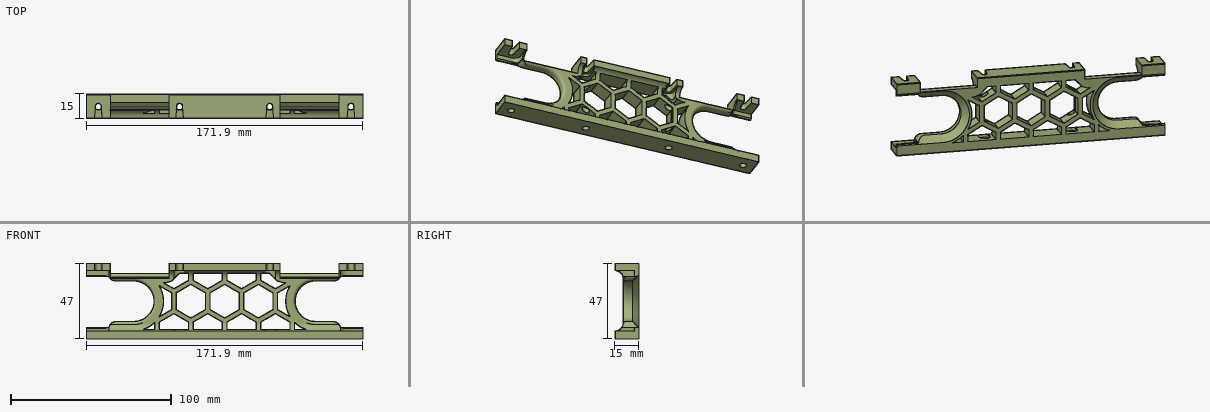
import cadquery as cq
import math

LENGTH = 171.95
DEPTH = 15.0
HEIGHT = 47.0
END_X = LENGTH / 2
BACK_Y = DEPTH / 2
FRONT_Y = -DEPTH / 2
MID_Z = HEIGHT / 2
MARGIN = 2.0
BACK_CHAMFER = 0.5

BASE_THICKNESS = 5.0
PAD_THICKNESS = 4.5
PAD_UNDERSIDE = HEIGHT - PAD_THICKNESS
WEB_DEPTH = 10.0
WEB_FRONT_Y = BACK_Y - WEB_DEPTH
WEB_FILLET = DEPTH - WEB_DEPTH
END_PAD_LENGTH = 15.0
CENTRE_PAD_HALF = 34.5
END_PAD_INNER_X = END_X - END_PAD_LENGTH

ARM_TOP = 40.8
ARM_FLAT_DEPTH = 5.2
ARM_LEDGE_DEPTH = 8.0
ARM_LEDGE_Z = 38.5
ARM_EDGE_DEPTH = 9.3
ARM_EDGE_Z = 38.2
ARM_FRONT_Z = PAD_UNDERSIDE - WEB_FILLET

OPENING_RADIUS = 12.5
OPENING_CENTRE_X = 56.4
ARM_BOTTOM = MID_Z + OPENING_RADIUS
OPENING_ROUND = 2.0
OPENING_CHAMFER = 4.3
LIP_TOP_Z = 38.8
LIP_BOTTOM_Z = 7.3
STEP_RADIUS = 5.0
LIP_DEPTH = 3.0
LIP_CHAMFER = 0.8
LIP_LENGTH = 14.0
LIP_END_X = END_X - LIP_LENGTH
POCKET_CORNER = 4.0

HEX_PITCH = 21.0
HEX_BAR = 3.0
HEX_FLATS = HEX_PITCH - HEX_BAR
ROW_PITCH = HEX_PITCH * math.sqrt(3) / 2
RING_WIDTH = 6.0
RING_RADIUS = OPENING_RADIUS + RING_WIDTH
MIDDLE_ROW_COUNT = 5
WINDOW_BOTTOM = 6.0
WINDOW_TOP = ARM_TOP
WINDOW_SHOULDER_X = 32.8
WINDOW_HAUNCH_X = 36.0
HAUNCH_DROP = 1.0
WINDOW_HAUNCH_Z = ARM_BOTTOM - HAUNCH_DROP

HOLE_DIAMETER = 4.4
SLOT_WIDTH = 3.4
INNER_HOLE_EDGE_DISTANCE = 6.5
OUTER_HOLE_X = END_X - END_PAD_LENGTH / 2
INNER_HOLE_X = CENTRE_PAD_HALF - INNER_HOLE_EDGE_DISTANCE
SLOT_MOUTH = 4.8
SCREW_POCKET_WIDTH = 7.0


def prism_y(sketch, back_y, front_y):
    """Extrude an XZ outline function from back_y to front_y."""
    plane = cq.Workplane("XZ", origin=(0, back_y, 0))
    return sketch(plane).extrude(back_y - front_y)


def opening_outline(offset):
    """Right-hand opening, grown outward by offset, running past the end of the part."""
    half = OPENING_RADIUS + offset
    far_x = END_X + MARGIN + OPENING_CHAMFER

    def draw(plane):
        return (plane.moveTo(far_x, MID_Z + half)
                .lineTo(OPENING_CENTRE_X, MID_Z + half)
                .threePointArc((OPENING_CENTRE_X - half, MID_Z), (OPENING_CENTRE_X, MID_Z - half))
                .lineTo(far_x, MID_Z - half).close())
    return draw


def step_arc(side, lip_z):
    """Start, middle and end points of the convex arc from an end lip to the opening side."""
    drop = abs(lip_z - MID_Z) - OPENING_RADIUS
    angle = math.acos(1 - drop / STEP_RADIUS)

    def point(turn):
        x = LIP_END_X - STEP_RADIUS * (math.sin(angle) - math.sin(turn))
        return x, MID_Z + side * (OPENING_RADIUS + STEP_RADIUS * (1 - math.cos(turn)))
    return point(angle), point(angle / 2), point(0)


def stepped_opening(plane):
    """Opening outline that widens to the end lips through convex arcs."""
    far_x = END_X + MARGIN
    tip = (OPENING_CENTRE_X - OPENING_RADIUS, MID_Z)
    upper_lip, upper_mid, upper_side = step_arc(1, LIP_TOP_Z)
    lower_lip, lower_mid, lower_side = step_arc(-1, LIP_BOTTOM_Z)
    return (plane.moveTo(far_x, LIP_TOP_Z).lineTo(*upper_lip)
            .threePointArc(upper_mid, upper_side)
            .lineTo(OPENING_CENTRE_X, MID_Z + OPENING_RADIUS)
            .threePointArc(tip, (OPENING_CENTRE_X, MID_Z - OPENING_RADIUS))
            .lineTo(*lower_side)
            .threePointArc(lower_mid, lower_lip)
            .lineTo(far_x, LIP_BOTTOM_Z).close())


def both_ends(shape):
    return shape.union(shape.mirror("YZ"))


def make_channel():
    """Base, web and top flange as one C section with concave fillets along the web."""
    fillet_diagonal = WEB_FILLET * (1 - math.sqrt(0.5))
    section = (cq.Workplane("YZ", origin=(-END_X, 0, 0))
               .moveTo(BACK_Y, 0).lineTo(FRONT_Y, 0).lineTo(FRONT_Y, BASE_THICKNESS)
               .threePointArc((WEB_FRONT_Y - fillet_diagonal, BASE_THICKNESS + fillet_diagonal),
                              (WEB_FRONT_Y, BASE_THICKNESS + WEB_FILLET))
               .lineTo(WEB_FRONT_Y, PAD_UNDERSIDE - WEB_FILLET)
               .threePointArc((WEB_FRONT_Y - fillet_diagonal, PAD_UNDERSIDE - fillet_diagonal),
                              (FRONT_Y, PAD_UNDERSIDE))
               .lineTo(FRONT_Y, HEIGHT).lineTo(BACK_Y, HEIGHT).close())
    return section.extrude(LENGTH).faces(">Y").edges("|X").chamfer(BACK_CHAMFER)


def arm_clearance():
    """Space above one upper arm, between the end pad and the centre pad."""
    return (cq.Workplane("YZ", origin=(CENTRE_PAD_HALF, 0, 0))
            .moveTo(BACK_Y + MARGIN, ARM_TOP)
            .lineTo(BACK_Y - ARM_FLAT_DEPTH, ARM_TOP)
            .lineTo(BACK_Y - ARM_LEDGE_DEPTH, ARM_LEDGE_Z)
            .lineTo(BACK_Y - ARM_EDGE_DEPTH, ARM_EDGE_Z)
            .lineTo(WEB_FRONT_Y, ARM_FRONT_Z)
            .lineTo(FRONT_Y - MARGIN, ARM_FRONT_Z)
            .lineTo(FRONT_Y - MARGIN, HEIGHT + MARGIN)
            .lineTo(BACK_Y + MARGIN, HEIGHT + MARGIN).close()
            .extrude(END_PAD_INNER_X - CENTRE_PAD_HALF))


def opening_front_round():
    """Cutter that rounds the front edge of one opening."""
    round_back_y = WEB_FRONT_Y + OPENING_ROUND
    diagonal = OPENING_ROUND * math.sqrt(0.5)
    bend = OPENING_ROUND - diagonal

    def section(plane):
        return (plane.moveTo(0, round_back_y)
                .lineTo(OPENING_RADIUS, round_back_y)
                .threePointArc((OPENING_RADIUS + bend, round_back_y - diagonal),
                               (OPENING_RADIUS + OPENING_ROUND, WEB_FRONT_Y))
                .lineTo(OPENING_RADIUS + OPENING_ROUND, FRONT_Y - MARGIN)
                .lineTo(0, FRONT_Y - MARGIN).close())

    tip_plane = cq.Plane(origin=(OPENING_CENTRE_X, 0, MID_Z), xDir=(0, 0, -1), normal=(1, 0, 0))
    tip = section(cq.Workplane(tip_plane)).revolve(360, (0, 0, 0), (0, 1, 0))
    straight_length = LIP_END_X - OPENING_CENTRE_X
    lower = section(cq.Workplane(tip_plane)).extrude(straight_length)
    upper = lower.mirror("XY", (0, 0, MID_Z))
    return tip.union(upper).union(lower)


def lip_chamfer(lip_z, side):
    """Cutter for the front edge of one end lip; side is the direction from the lip into the body."""
    lip_front_y = BACK_Y - LIP_DEPTH
    return (cq.Workplane("YZ", origin=(LIP_END_X, 0, 0))
            .polyline([(lip_front_y, lip_z), (lip_front_y + LIP_CHAMFER, lip_z),
                       (lip_front_y, lip_z + side * LIP_CHAMFER)])
            .close().extrude(END_X - LIP_END_X))


def opening_cutter():
    """One end opening with its back chamfer, front round and screw-head pocket."""
    through = prism_y(stepped_opening, BACK_Y + MARGIN, FRONT_Y - MARGIN)
    back_plane = cq.Workplane("XZ", origin=(0, BACK_Y, 0))
    chamfer = opening_outline(OPENING_CHAMFER)(back_plane).extrude(OPENING_CHAMFER, taper=45)
    pocket_length = END_X + MARGIN - LIP_END_X
    pocket_depth = DEPTH - LIP_DEPTH + MARGIN
    pocket = (cq.Workplane("XY", origin=(LIP_END_X, FRONT_Y - MARGIN, BASE_THICKNESS))
              .rect(pocket_length, pocket_depth, centered=False)
              .extrude(PAD_UNDERSIDE - BASE_THICKNESS)
              .edges("|Z and >Y and <X").fillet(POCKET_CORNER))
    opening = through.union(chamfer).union(opening_front_round()).union(pocket)
    return opening.union(lip_chamfer(LIP_TOP_Z, 1)).union(lip_chamfer(LIP_BOTTOM_Z, -1))


def window_border(plane):
    """Area that the honeycomb windows may fill."""
    slope_x = WINDOW_SHOULDER_X - (WINDOW_TOP - ARM_BOTTOM)
    right_side = [(OPENING_CENTRE_X, WINDOW_BOTTOM), (OPENING_CENTRE_X, WINDOW_HAUNCH_Z),
                  (WINDOW_HAUNCH_X, WINDOW_HAUNCH_Z), (WINDOW_SHOULDER_X, ARM_BOTTOM),
                  (slope_x, WINDOW_TOP)]
    left_side = [(-x, z) for x, z in reversed(right_side)]
    return plane.polyline(right_side + left_side).close()


def honeycomb_cutter():
    """Three rows of hexagons, kept clear of the rings around the end openings."""
    def row_xs(count):
        return [(i - (count - 1) / 2) * HEX_PITCH for i in range(count)]

    middle_row = [(x, MID_Z) for x in row_xs(MIDDLE_ROW_COUNT)]
    outer_xs = row_xs(MIDDLE_ROW_COUNT + 1)
    outer_rows = [(x, MID_Z + side * ROW_PITCH) for x in outer_xs for side in (-1, 1)]
    circumscribed = HEX_FLATS / math.cos(math.pi / 6)
    back_y = BACK_Y + MARGIN
    front_y = FRONT_Y - MARGIN

    def hexagon(x, z):
        centre = cq.Workplane("XZ", origin=(x, back_y, z))
        shape = centre.polygon(6, circumscribed).extrude(back_y - front_y)
        return shape.rotate((x, 0, z), (x, 1, z), 30)

    hexagons = cq.Workplane("XY")
    for x, z in middle_row + outer_rows:
        hexagons = hexagons.add(hexagon(x, z))
    ring = (cq.Workplane("XZ", origin=(OPENING_CENTRE_X, back_y, MID_Z))
            .circle(RING_RADIUS).extrude(back_y - front_y))
    border = prism_y(window_border, back_y, front_y).cut(both_ends(ring))
    return border.intersect(hexagons.combine())


def screw_slot(x):
    """Tapered round-backed slot in the pad, open to the front, above a hole up to the pad."""
    radius = SLOT_WIDTH / 2
    hole = cq.Workplane("XY", origin=(x, 0, 0)).circle(HOLE_DIAMETER / 2).extrude(PAD_UNDERSIDE)
    slot = (cq.Workplane("XY", origin=(x, 0, PAD_UNDERSIDE))
            .moveTo(-SLOT_MOUTH / 2, FRONT_Y).lineTo(-radius, 0)
            .threePointArc((0, radius), (radius, 0))
            .lineTo(SLOT_MOUTH / 2, FRONT_Y).close().extrude(PAD_THICKNESS))
    return hole.union(slot)


def screw_pocket(x):
    """Round-backed flats for the screw at the base and under the pad."""
    radius = SCREW_POCKET_WIDTH / 2
    flats = cq.Workplane("XY")
    for bottom, top in ((BASE_THICKNESS, BASE_THICKNESS + WEB_FILLET), (ARM_BOTTOM, PAD_UNDERSIDE)):
        flats = flats.add(cq.Workplane("XY", origin=(x, 0, bottom))
                          .moveTo(-radius, FRONT_Y).lineTo(-radius, 0)
                          .threePointArc((0, radius), (radius, 0))
                          .lineTo(radius, FRONT_Y).close().extrude(top - bottom))
    return flats.combine()


result = make_channel()
result = result.cut(both_ends(arm_clearance()))
result = result.cut(both_ends(opening_cutter()))
result = result.cut(honeycomb_cutter())
for hole_x in (OUTER_HOLE_X, INNER_HOLE_X):
    result = result.cut(both_ends(screw_slot(hole_x)))
result = result.cut(both_ends(screw_pocket(INNER_HOLE_X)))